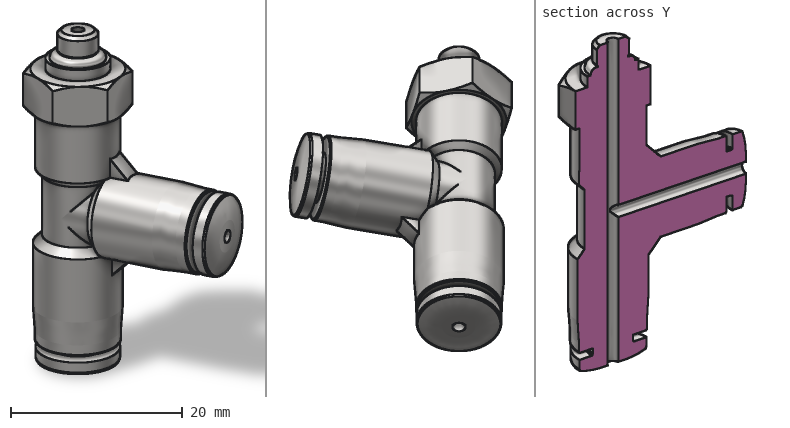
import cadquery as cq
import math

port_length = 19.6
top_height = 42 - port_length
bore_diameter = 1.5

neck_radius = 4.2
body_radius = 10.5 / 2
body_end_radius = 10.1 / 2
port_neck_end = 3.4
body_start = port_neck_end + body_radius - neck_radius
taper_start = 12.45
taper_end = 15.4
body_end = 16.75
body_end_chamfer = 0.15
release_ring_radius = 9.9 / 2
ring_groove_radius = 5.95 / 2
ring_start = 17.6
ring_root_height = 0.25
ring_root_flare = 0.13
ring_rim = 18.85
ring_edge_height = 0.25
ring_edge_inset = 0.13
ring_face_radius = 1.95
ring_bulge_radius = 3.55
ring_bulge_drop = 0.15

sleeve_radius = 10.0 / 2
sleeve_neck_end = 4.25
sleeve_start = sleeve_neck_end + sleeve_radius - neck_radius

hex_across_corners = 12.8
hex_across_flats = hex_across_corners * math.cos(math.pi / 6)
hex_bottom = 12.45
hex_top = 17.47
corner_bevel_height = 0.5

collar_radius = 7.6 / 2
collar_top = 18.85
seal_outer_radius = 3.3
seal_height = 0.8
seal_flat_radius = seal_outer_radius - seal_height
stud_radius = 4.85 / 2
stud_relief_radius = 2.23
stud_bottom = 19.85
stud_chamfer = 0.45

rib_width = 2.5
rib_reach = 12.3


def make_port():
    """Port revolved about Z, pointing down from the origin."""
    profile = (
        cq.Workplane("XZ")
        .lineTo(neck_radius, 0)
        .lineTo(neck_radius, -port_neck_end)
        .lineTo(body_radius, -body_start)
        .lineTo(body_radius, -taper_start)
        .lineTo(body_end_radius, -taper_end)
        .lineTo(body_end_radius, -body_end + body_end_chamfer)
        .lineTo(body_end_radius - body_end_chamfer, -body_end)
        .lineTo(ring_groove_radius, -body_end)
        .lineTo(ring_groove_radius, -ring_start + ring_root_height)
        .lineTo(ring_groove_radius + ring_root_flare, -ring_start)
        .lineTo(release_ring_radius, -ring_start)
        .lineTo(release_ring_radius, -ring_rim)
        .lineTo(release_ring_radius - ring_edge_inset, -ring_rim - ring_edge_height)
        .threePointArc(
            (ring_bulge_radius, -port_length + ring_bulge_drop),
            (ring_face_radius, -port_length),
        )
        .lineTo(0, -port_length)
        .close()
    )
    return profile.revolve(360, (0, 0, 0), (0, 1, 0))


def make_upper_run():
    """Neck, sleeve, collar, rounded seal and stud revolved about Z."""
    seal_top = collar_top + seal_height
    arc_offset = seal_height * math.sqrt(0.5)
    profile = (
        cq.Workplane("XZ")
        .lineTo(neck_radius, 0)
        .lineTo(neck_radius, sleeve_neck_end)
        .lineTo(sleeve_radius, sleeve_start)
        .lineTo(sleeve_radius, hex_bottom)
        .lineTo(collar_radius, hex_bottom)
        .lineTo(collar_radius, collar_top)
        .lineTo(seal_outer_radius, collar_top)
        .threePointArc(
            (seal_flat_radius + arc_offset, collar_top + arc_offset),
            (seal_flat_radius, seal_top),
        )
        .lineTo(stud_relief_radius, seal_top)
        .lineTo(stud_radius, stud_bottom)
        .lineTo(stud_radius, top_height - stud_chamfer)
        .lineTo(stud_radius - stud_chamfer, top_height)
        .lineTo(0, top_height)
        .close()
    )
    return profile.revolve(360, (0, 0, 0), (0, 1, 0))


def make_hexagon():
    """Hexagon with corners on the Y axis, beveled at both ends."""
    prism = (
        cq.Workplane("XY", origin=(0, 0, hex_bottom))
        .transformed(rotate=(0, 0, 90))
        .polygon(6, hex_across_corners)
        .extrude(hex_top - hex_bottom)
    )
    flat_radius = hex_across_flats / 2
    corner_radius = hex_across_corners / 2
    bevel_envelope = (
        cq.Workplane("XZ")
        .moveTo(0, hex_bottom)
        .lineTo(flat_radius, hex_bottom)
        .lineTo(corner_radius, hex_bottom + corner_bevel_height)
        .lineTo(corner_radius, hex_top - corner_bevel_height)
        .lineTo(flat_radius, hex_top)
        .lineTo(0, hex_top)
        .close()
        .revolve(360, (0, 0, 0), (0, 1, 0))
    )
    return prism.intersect(bevel_envelope)


def make_ribs():
    """Both ribs as one triangular plate; its middle lies inside the run and branch."""
    return (
        cq.Workplane("XZ")
        .polyline([(0, -rib_reach), (rib_reach, 0), (0, rib_reach)])
        .close()
        .extrude(rib_width / 2, both=True)
    )


run_port = make_port()
branch_port = make_port().rotate((0, 0, 0), (0, 1, 0), -90)
outside = make_upper_run().union(run_port).union(branch_port).union(make_hexagon()).union(make_ribs())

run_bore = cq.Workplane("XY", origin=(0, 0, -port_length)).circle(bore_diameter / 2).extrude(
    port_length + top_height
)
branch_bore = cq.Workplane("YZ").circle(bore_diameter / 2).extrude(port_length)

result = outside.cut(run_bore).cut(branch_bore)